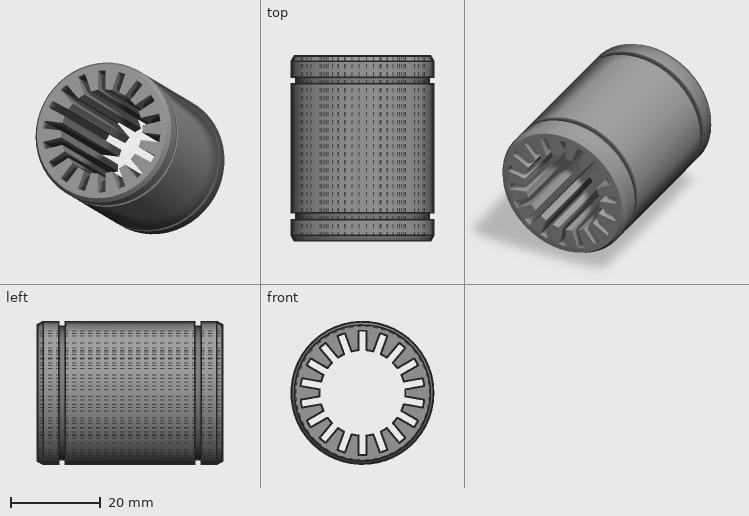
import cadquery as cq
import math

outer_diameter = 31.75
length = 41.27
bore_diameter = 19.05

chamfer_length = 1.25
chamfer_angle = 30.0
chamfer_depth = chamfer_length * math.tan(math.radians(chamfer_angle))

groove_offset = 4.76
groove_width = 1.48
groove_depth = 1.0

slot_count = 18
slot_width = 1.73
slot_bottom_radius = 13.82

outer_radius = outer_diameter / 2
half_length = length / 2


def make_sleeve():
    """Chamfered tube with grooves, revolved from its half section about the Y axis."""
    bore_radius = bore_diameter / 2
    end_radius = outer_radius - chamfer_depth
    groove_radius = outer_radius - groove_depth
    shoulder_y = half_length - chamfer_length
    groove_outer_y = half_length - groove_offset
    groove_inner_y = groove_outer_y - groove_width
    upper_profile = [
        (bore_radius, half_length),
        (end_radius, half_length),
        (outer_radius, shoulder_y),
        (outer_radius, groove_outer_y),
        (groove_radius, groove_outer_y),
        (groove_radius, groove_inner_y),
        (outer_radius, groove_inner_y),
    ]
    lower_profile = [(radius, -y) for radius, y in reversed(upper_profile)]
    section = cq.Workplane("XY").polyline(upper_profile + lower_profile).close()
    return section.revolve(360, (0, 0, 0), (0, 1, 0))


def make_slot_cutters():
    """Flat-bottomed bars from the axis to the slot bottoms, the first one pointing along +Z."""
    bar = cq.Workplane("XY").box(slot_width, length, slot_bottom_radius, centered=(True, True, False))
    cutters = cq.Workplane("XY")
    for index in range(slot_count):
        angle = index * 360 / slot_count
        cutters = cutters.add(bar.rotate((0, 0, 0), (0, 1, 0), angle))
    return cutters.combine()


result = make_sleeve().cut(make_slot_cutters())